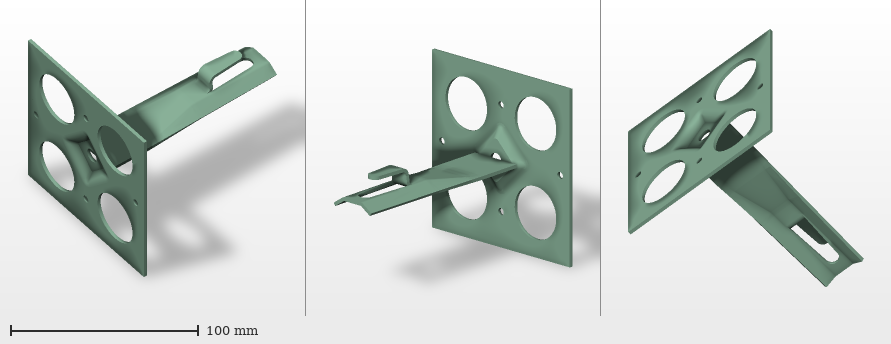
import cadquery as cq
import math

SHEET = 2.0

PLATE_WIDTH = 99.5
PLATE_HEIGHT = 100.0
WINDOW_RADIUS = 15.0
WINDOW_OFFSET = 25.0
SCREW_HOLE_DIAMETER = 4.0
SCREW_HOLE_OFFSET_X = 42.7
SCREW_HOLE_OFFSET_Z = 30.0

DIMPLE_DEPTH = 4.0
DIMPLE_FLOOR = 17.0
DIMPLE_WALL_ANGLE = 40.0
DIMPLE_CORNER_RADIUS = 2.0
DIMPLE_RIM_RADIUS = 6.0
DIMPLE_HOLE_DIAMETER = 8.1

ARM_END = 119.0
ARM_ROOT_WIDTH = 30.0
ARM_TIP_WIDTH = 27.1
CROWN_HEIGHT = 5.6
RAMP_FOOT = 36.9
RAMP_HEAD = 67.1
RAMP_FOOT_RADIUS = 59.5
RAMP_HEAD_RADIUS = 20.2
FOLD_RADIUS = 3.0
CROWN_FOLD = 6.8
RAMP_FOOT_FOLD = 11.0
FLAT_FOLD = 12.0
LEAST_FOLD_SLOPE = math.radians(0.01)
FLAT_FOLD_LENGTH = 0.1

SLOT_ROOT = 78.0
SLOT_ROOT_WIDTH = 11.3
SLOT_TIP_RADIUS = 4.0
SLOT_TIP_CENTER = 108.5
HOOK_ROOT_WIDTH = 11.0
HOOK_BEND_WIDTH = 9.9
HOOK_TIP = 105.0
HOOK_TIP_RADIUS = 3.8
HOOK_TOP = 15.6
HOOK_FOOT_RADIUS = 2.0
HOOK_BEND_RADIUS = 4.8

DIMPLE_BACK = SHEET + DIMPLE_DEPTH
HALF_SHEET = SHEET / 2
RAMP_ANGLE = math.atan2(CROWN_HEIGHT - HALF_SHEET, RAMP_HEAD - RAMP_FOOT)
FOOT_TANGENT = RAMP_FOOT_RADIUS * math.tan(RAMP_ANGLE / 2)
HEAD_TANGENT = RAMP_HEAD_RADIUS * math.tan(RAMP_ANGLE / 2)
FOOT_START = RAMP_FOOT - FOOT_TANGENT
FOOT_END = RAMP_FOOT + FOOT_TANGENT * math.cos(RAMP_ANGLE)
HEAD_START = RAMP_HEAD - HEAD_TANGENT * math.cos(RAMP_ANGLE)
HEAD_END = RAMP_HEAD + HEAD_TANGENT


def pyramid(floor_side, floor_y, corner_radius):
    """Diamond-set pyramid frustum on y = 0, narrowing to its floor at floor_y."""
    growth = floor_y / math.tan(math.radians(DIMPLE_WALL_ANGLE))
    frustum = (
        cq.Workplane("XZ")
        .transformed(rotate=(0, 0, 45))
        .rect(floor_side + 2 * growth, floor_side + 2 * growth)
        .extrude(-floor_y, taper=90 - DIMPLE_WALL_ANGLE)
    )
    return frustum.edges("not(#Y)").fillet(corner_radius)


def dimple_form(slab, pyramid_frustum, foot_y, foot_radius):
    """Slab with the pyramid standing on its face at foot_y, blended by a fillet around the foot."""
    reach = PLATE_WIDTH / 4
    margin = SHEET / 10
    foot = cq.selectors.BoxSelector(
        (-reach, foot_y - margin, -reach),
        (reach, foot_y + margin, reach),
    )
    return slab.union(pyramid_frustum).edges(foot).fillet(foot_radius)


def make_plate():
    sheet = cq.Workplane("XY").box(PLATE_WIDTH, SHEET, PLATE_HEIGHT, centered=(True, False, True))

    offset_growth = SHEET * math.tan(math.radians(DIMPLE_WALL_ANGLE / 2))
    outside = pyramid(DIMPLE_FLOOR + 2 * offset_growth, DIMPLE_BACK, DIMPLE_CORNER_RADIUS + SHEET)
    inside = pyramid(DIMPLE_FLOOR, DIMPLE_DEPTH, DIMPLE_CORNER_RADIUS)
    plate = dimple_form(sheet, outside, SHEET, DIMPLE_RIM_RADIUS - SHEET)
    cutter = dimple_form(sheet.translate((0, -SHEET, 0)), inside, 0, DIMPLE_RIM_RADIUS)
    plate = plate.cut(cutter)

    drill = cq.Workplane("XZ", origin=(0, DIMPLE_BACK, 0))
    windows = drill.rect(2 * WINDOW_OFFSET, 2 * WINDOW_OFFSET, forConstruction=True).vertices()
    windows = windows.circle(WINDOW_RADIUS).extrude(DIMPLE_BACK)
    screw_points = [
        (SCREW_HOLE_OFFSET_X, 0),
        (-SCREW_HOLE_OFFSET_X, 0),
        (0, SCREW_HOLE_OFFSET_Z),
        (0, -SCREW_HOLE_OFFSET_Z),
    ]
    screw_holes = drill.pushPoints(screw_points).circle(SCREW_HOLE_DIAMETER / 2).extrude(DIMPLE_BACK)
    dimple_hole = drill.circle(DIMPLE_HOLE_DIAMETER / 2).extrude(DIMPLE_BACK)
    return plate.cut(windows).cut(screw_holes).cut(dimple_hole)


def interpolate(y, y0, value0, y1, value1):
    """Value at y on the straight line from value0 at y0 to value1 at y1."""
    return value0 + (value1 - value0) * (y - y0) / (y1 - y0)


def half_width(y):
    """Half the width between the two long edges of the channel."""
    return interpolate(y, FOOT_START, ARM_ROOT_WIDTH / 2, ARM_END, ARM_TIP_WIDTH / 2)


def crown_z(y):
    """Height of the crown: flat, foot arc, ramp, head arc, then level."""
    if y <= FOOT_END:
        run = y - FOOT_START
        return HALF_SHEET + RAMP_FOOT_RADIUS - math.sqrt(RAMP_FOOT_RADIUS**2 - run**2)
    if y < HEAD_START:
        return HALF_SHEET + (y - RAMP_FOOT) * math.tan(RAMP_ANGLE)
    run = max(HEAD_END - y, 0)
    return CROWN_HEIGHT - RAMP_HEAD_RADIUS + math.sqrt(RAMP_HEAD_RADIUS**2 - run**2)


def fold_x(y):
    """Half the distance between the two folds, taken where crown and wall would meet unrounded."""
    if y <= FOOT_END:
        return interpolate(y, FOOT_START, FLAT_FOLD, FOOT_END, RAMP_FOOT_FOLD)
    if y < HEAD_START:
        return interpolate(y, FOOT_END, RAMP_FOOT_FOLD, HEAD_START, CROWN_FOLD)
    return CROWN_FOLD


def fold_points(x, z, radius, slope):
    """Start, middle and end of the fold arc whose unrounded corner is at (x, z)."""
    tangent = max(radius * math.tan(slope / 2), FLAT_FOLD_LENGTH / 2)
    start = (x - tangent, z)
    corner_gap = tangent * math.tan(slope / 4)
    middle = (x - corner_gap * math.sin(slope / 2), z - corner_gap * math.cos(slope / 2))
    end = (x + tangent * math.cos(slope), z - tangent * math.sin(slope))
    return start, middle, end


def channel_section(y):
    """Closed cross-section wire of the sheet at y: crown, two folds and two sloping walls."""
    edge_x = half_width(y)
    slope = math.atan2(crown_z(y) - HALF_SHEET, edge_x - fold_x(y))
    inner_fold_x = fold_x(y) - SHEET * math.tan(slope / 2)
    outer = fold_points(fold_x(y), crown_z(y), FOLD_RADIUS, slope)
    inner = fold_points(inner_fold_x, crown_z(y) - SHEET, FOLD_RADIUS - SHEET, slope)
    outer_edge = (edge_x, HALF_SHEET)
    inner_edge = (edge_x - SHEET * math.sin(slope), HALF_SHEET - SHEET * math.cos(slope))

    def point(xz, side):
        return cq.Vector(side * xz[0], y, xz[1])

    def line(start, start_side, end, end_side):
        return cq.Edge.makeLine(point(start, start_side), point(end, end_side))

    def fold(arc, side):
        start, middle, end = arc
        if slope < LEAST_FOLD_SLOPE:
            return line(start, side, end, side)
        return cq.Edge.makeThreePointArc(point(start, side), point(middle, side), point(end, side))

    edges = [
        line(outer[0], -1, outer[0], 1),
        fold(outer, 1),
        line(outer[2], 1, outer_edge, 1),
        line(outer_edge, 1, inner_edge, 1),
        line(inner_edge, 1, inner[2], 1),
        fold(inner[::-1], 1),
        line(inner[0], 1, inner[0], -1),
        fold(inner, -1),
        line(inner[2], -1, inner_edge, -1),
        line(inner_edge, -1, outer_edge, -1),
        line(outer_edge, -1, outer[2], -1),
        fold(outer[::-1], -1),
    ]
    return cq.Wire.assembleEdges(edges)


def channel_stretch(start, end, curved):
    """One stretch of the channel; a curved stretch also passes through its middle section."""
    stations = [start, (start + end) / 2, end] if curved else [start, end]
    sections = [channel_section(y) for y in stations]
    return cq.Solid.makeLoft(sections, ruled=not curved)


def slot_cutter():
    """Tapered slot with a round far end, through the crown."""
    return (
        cq.Workplane("XY")
        .moveTo(-SLOT_ROOT_WIDTH / 2, SLOT_ROOT)
        .lineTo(-SLOT_TIP_RADIUS, SLOT_TIP_CENTER)
        .threePointArc((0, SLOT_TIP_CENTER + SLOT_TIP_RADIUS), (SLOT_TIP_RADIUS, SLOT_TIP_CENTER))
        .lineTo(SLOT_ROOT_WIDTH / 2, SLOT_ROOT)
        .close()
        .extrude(CROWN_HEIGHT + SHEET)
    )


def make_hook():
    """Tongue of the slot, bent up at its root and bent level again to point to the arm's tip."""
    post_y = SLOT_ROOT + HOOK_FOOT_RADIUS
    foot_outer = HOOK_FOOT_RADIUS + SHEET
    bend_inner = HOOK_BEND_RADIUS - SHEET
    foot_top = CROWN_HEIGHT + HOOK_FOOT_RADIUS
    bend_y = post_y + HOOK_BEND_RADIUS
    bend_z = HOOK_TOP - HOOK_BEND_RADIUS
    diagonal = math.sqrt(0.5)
    strip = (
        cq.Workplane("YZ", origin=(-HOOK_ROOT_WIDTH / 2, 0, 0))
        .moveTo(SLOT_ROOT, CROWN_HEIGHT)
        .threePointArc(
            (SLOT_ROOT + HOOK_FOOT_RADIUS * diagonal, foot_top - HOOK_FOOT_RADIUS * diagonal),
            (post_y, foot_top),
        )
        .lineTo(post_y, bend_z)
        .threePointArc(
            (bend_y - HOOK_BEND_RADIUS * diagonal, bend_z + HOOK_BEND_RADIUS * diagonal),
            (bend_y, HOOK_TOP),
        )
        .lineTo(HOOK_TIP, HOOK_TOP)
        .lineTo(HOOK_TIP, HOOK_TOP - SHEET)
        .lineTo(bend_y, HOOK_TOP - SHEET)
        .threePointArc(
            (bend_y - bend_inner * diagonal, bend_z + bend_inner * diagonal),
            (post_y + SHEET, bend_z),
        )
        .lineTo(post_y + SHEET, foot_top)
        .threePointArc(
            (SLOT_ROOT + foot_outer * diagonal, foot_top - foot_outer * diagonal),
            (SLOT_ROOT, CROWN_HEIGHT - SHEET),
        )
        .close()
        .extrude(HOOK_ROOT_WIDTH)
    )

    tip_center = HOOK_TIP - HOOK_TIP_RADIUS
    root_half = HOOK_ROOT_WIDTH / 2
    bend_half = HOOK_BEND_WIDTH / 2
    post_taper = (
        cq.Workplane("XZ", origin=(0, HOOK_TIP, 0))
        .moveTo(-root_half, 0)
        .lineTo(-root_half, foot_top)
        .lineTo(-bend_half, bend_z)
        .lineTo(-bend_half, HOOK_TOP)
        .lineTo(bend_half, HOOK_TOP)
        .lineTo(bend_half, bend_z)
        .lineTo(root_half, foot_top)
        .lineTo(root_half, 0)
        .close()
        .extrude(HOOK_TIP - SLOT_ROOT)
    )
    finger_taper = (
        cq.Workplane("XY")
        .moveTo(-root_half, SLOT_ROOT)
        .lineTo(-root_half, post_y + SHEET)
        .lineTo(-bend_half, bend_y)
        .lineTo(-HOOK_TIP_RADIUS, tip_center)
        .threePointArc((0, HOOK_TIP), (HOOK_TIP_RADIUS, tip_center))
        .lineTo(bend_half, bend_y)
        .lineTo(root_half, post_y + SHEET)
        .lineTo(root_half, SLOT_ROOT)
        .close()
        .extrude(HOOK_TOP)
    )
    return strip.intersect(post_taper).intersect(finger_taper)


def make_arm():
    flat = (
        cq.Workplane("XY", origin=(0, DIMPLE_BACK, 0))
        .box(ARM_ROOT_WIDTH, FOOT_START - DIMPLE_BACK, SHEET, centered=(True, False, True))
    )
    stretches = [
        channel_stretch(FOOT_START, FOOT_END, curved=True),
        channel_stretch(FOOT_END, HEAD_START, curved=False),
        channel_stretch(HEAD_START, HEAD_END, curved=True),
        channel_stretch(HEAD_END, ARM_END, curved=False),
    ]
    channel = cq.Workplane(flat.val().fuse(*stretches, glue=True).Solids()[0])
    return channel.cut(slot_cutter()).union(make_hook())


plate = make_plate()
arm = make_arm()
result = cq.Compound.makeCompound([plate.solids().val(), arm.solids().val()])